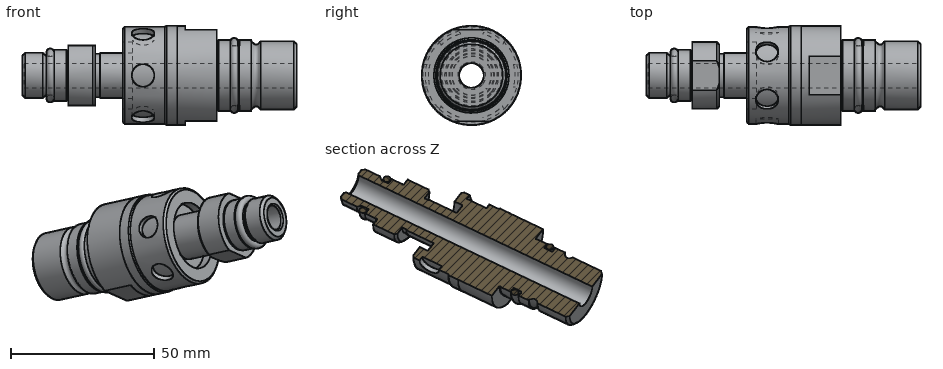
import cadquery as cq


length = 95.95
bore_dia = 8.5
bore_chamfer = 0.6

front_thread_dia = 15.9
front_thread_chamfer = 1.1
front_thread_end = 7.2
front_groove_dia = 13.5
front_groove_end = 11.1

front_pilot_dia = 18.0
collar_start = 16.0
collar_end = 25.5
collar_dia = 23.4
collar_chamfer = 0.9
collar_flat_width = 21.0

neck_dia = 15.3
neck_end = 27.1
stem_dia = 15.8
stem_chamfer = (stem_dia - neck_dia) / 2

sleeve_start = 35.1
sleeve_dia = 34.1
sleeve_chamfer = 0.8
recess_dia = 23.4
recess_depth = 3.3

hole_count = 6
hole_dia = 7.9
hole_x = 42.2
hole_floor_dia = 30.2

flange_start = 49.9
flange_dia = 34.8
flange_chamfer_length = 0.6
flange_end = 54.2
housing_dia = 34.7
housing_end = 68.0
flat_start = 57.0
flat_width = 31.95

rear_pilot_dia = 24.9
rear_groove_start = 72.7
rear_groove_end = 75.9
rear_groove_dia = 20.9
rear_pilot_end = 80.0

rear_thread_dia = 24.0
rear_thread_start = 83.4
undercut_floor_dia = 21.7
undercut_rim_dia = 22.3
undercut_start = 81.0
undercut_end = 82.5
rear_thread_chamfer = 1.1

relief_width = 0.6
relief_depth = 0.14

ring_section_dia = 2.7


def front_profile():
    """Outer contour as (x, radius) points, from the front end to the housing's rear face."""
    front_thread_r = front_thread_dia / 2
    front_groove_r = front_groove_dia / 2
    front_pilot_r = front_pilot_dia / 2
    front_relief_r = front_pilot_r - relief_depth
    collar_r = collar_dia / 2
    neck_r = neck_dia / 2
    stem_r = stem_dia / 2
    recess_r = recess_dia / 2
    recess_floor = sleeve_start + recess_depth
    sleeve_r = sleeve_dia / 2
    flange_r = flange_dia / 2
    housing_r = housing_dia / 2
    return [
        (0, 0),
        (0, front_thread_r - front_thread_chamfer),
        (front_thread_chamfer, front_thread_r),
        (front_thread_end, front_thread_r),
        (front_thread_end + front_thread_r - front_groove_r, front_groove_r),
        (front_groove_end, front_groove_r),
        (front_groove_end, front_pilot_r),
        (collar_start - relief_width, front_pilot_r),
        (collar_start - relief_width + relief_depth, front_relief_r),
        (collar_start, front_relief_r),
        (collar_start, collar_r),
        (collar_end - collar_chamfer, collar_r),
        (collar_end, collar_r - collar_chamfer),
        (collar_end, neck_r),
        (neck_end, neck_r),
        (neck_end + stem_chamfer, stem_r),
        (recess_floor, stem_r),
        (recess_floor, recess_r),
        (sleeve_start, recess_r),
        (sleeve_start, sleeve_r - sleeve_chamfer),
        (sleeve_start + sleeve_chamfer, sleeve_r),
        (flange_start, sleeve_r),
        (flange_start + flange_chamfer_length, flange_r),
        (flange_end, flange_r),
        (flange_end, housing_r),
        (housing_end, housing_r),
    ]


def rear_pilot_profile():
    """Outer contour as (x, radius) points, from the housing to the start of the undercut's arc."""
    rear_pilot_r = rear_pilot_dia / 2
    rear_relief_r = rear_pilot_r - relief_depth
    rear_groove_r = rear_groove_dia / 2
    return [
        (housing_end, rear_relief_r),
        (housing_end + relief_width - relief_depth, rear_relief_r),
        (housing_end + relief_width, rear_pilot_r),
        (rear_groove_start, rear_pilot_r),
        (rear_groove_start, rear_groove_r),
        (rear_groove_end, rear_groove_r),
        (rear_groove_end, rear_pilot_r),
        (rear_pilot_end, rear_pilot_r),
        (rear_pilot_end, rear_thread_dia / 2),
        (undercut_start, undercut_rim_dia / 2),
    ]


def rear_thread_profile():
    """Outer contour as (x, radius) points, from the end of the undercut's arc to the rear end."""
    rear_thread_r = rear_thread_dia / 2
    return [
        (undercut_end, undercut_rim_dia / 2),
        (rear_thread_start, rear_thread_r),
        (length - rear_thread_chamfer, rear_thread_r),
        (length, rear_thread_r - rear_thread_chamfer),
        (length, 0),
    ]


def turned_blank():
    """The whole turned contour revolved about the X axis, before any cutting."""
    after_arc = rear_thread_profile()
    arc_middle = ((undercut_start + undercut_end) / 2, undercut_floor_dia / 2)
    outline = cq.Workplane("XY").polyline(front_profile() + rear_pilot_profile())
    outline = outline.threePointArc(arc_middle, after_arc[0])
    outline = outline.polyline(after_arc[1:], includeCurrent=True).close()
    return outline.revolve(360, (0, 0), (1, 0))


def through_bore():
    """Bore along the whole axis, with a chamfer at its front mouth."""
    bore_r = bore_dia / 2
    profile = [
        (0, 0),
        (0, bore_r + bore_chamfer),
        (bore_chamfer, bore_r),
        (length, bore_r),
        (length, 0),
    ]
    return cq.Workplane("XY").polyline(profile).close().revolve(360, (0, 0), (1, 0))


def flats(x_start, x_end, across, stock_dia):
    """Material to remove for two wrench flats facing +Z and -Z."""
    span = x_end - x_start
    stock = cq.Workplane("XY").box(span, 2 * stock_dia, 2 * stock_dia)
    kept = cq.Workplane("XY").box(span, 2 * stock_dia, across)
    return stock.cut(kept).translate(((x_start + x_end) / 2, 0, 0))


def blind_holes():
    """Radial holes whose floors all lie on one cylinder around the axis."""
    core = cq.Workplane("YZ").circle(hole_floor_dia / 2).extrude(length)
    hole = cq.Workplane("XZ").center(hole_x, 0).circle(hole_dia / 2).extrude(sleeve_dia).cut(core)
    holes = cq.Workplane("XY")
    for index in range(hole_count):
        holes = holes.add(hole.rotate((0, 0, 0), (1, 0, 0), index * 360 / hole_count))
    return holes.combine()


def make_body():
    body = turned_blank().cut(through_bore())
    body = body.cut(flats(collar_start, collar_end, collar_flat_width, collar_dia))
    body = body.cut(flats(flat_start, housing_end, flat_width, housing_dia))
    return body.cut(blind_holes())


def make_o_ring(x_centre, inner_dia):
    """Round-section ring that rests on a groove floor of the given diameter."""
    section_r = ring_section_dia / 2
    centre_r = inner_dia / 2 + section_r
    section = cq.Workplane("XY").center(x_centre, centre_r).circle(section_r)
    return section.revolve(360, (0, -centre_r), (1, -centre_r))


body = make_body()
front_o_ring = make_o_ring(front_groove_end - ring_section_dia / 2, front_groove_dia)
rear_o_ring = make_o_ring(rear_groove_start + ring_section_dia / 2, rear_groove_dia)

result = cq.Compound.makeCompound([body.val(), front_o_ring.val(), rear_o_ring.val()])